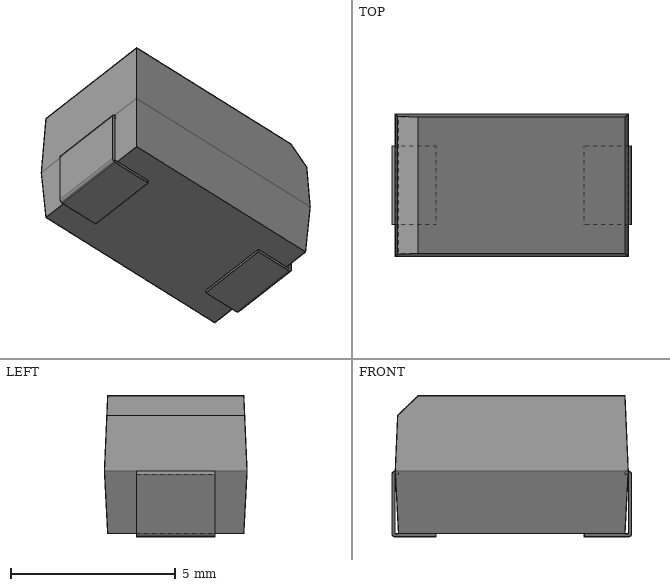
import cadquery as cq

overall_length = 7.3
case_width = 4.35
overall_height = 4.3
parting_height = 2.01
wall_inset = 0.1
polarity_chamfer = 0.6

strip_thickness = 0.1
strip_width = 2.4
strip_top = 2.0
left_foot_length = 1.35
right_foot_length = 1.45
tab_depth = strip_thickness
bend_radius = strip_thickness

case_length = overall_length - 2 * strip_thickness
case_bottom = strip_thickness


def tapered_half(end_height):
    """Half of the case, from the parting plane to a smaller face at end_height."""
    return (
        cq.Workplane("XY", origin=(0, 0, parting_height))
        .rect(case_length, case_width)
        .workplane(offset=end_height - parting_height)
        .rect(case_length - 2 * wall_inset, case_width - 2 * wall_inset)
        .loft(combine=True)
    )


def make_case():
    """Case that is widest at the parting plane, with a bevel marking the polarity."""
    upper_half = tapered_half(overall_height)
    lower_half = tapered_half(case_bottom)
    beveled_half = upper_half.faces(">Z").edges("<X").chamfer(polarity_chamfer)
    return beveled_half.union(lower_half)


def make_terminal(side, foot_length):
    """Strip from a tab in the case, down one end and under it; side is -1 or +1 along X."""
    outer_x = side * overall_length / 2
    inner_x = side * case_length / 2
    tab_end_x = inner_x - side * tab_depth
    foot_end_x = outer_x - side * foot_length
    bend_x = outer_x - side * bend_radius
    upper_bend_z = strip_top - bend_radius
    return (
        cq.Workplane("XZ")
        .moveTo(foot_end_x, 0)
        .lineTo(bend_x, 0)
        .tangentArcPoint((outer_x, bend_radius), relative=False)
        .lineTo(outer_x, upper_bend_z)
        .tangentArcPoint((bend_x, strip_top), relative=False)
        .lineTo(tab_end_x, strip_top)
        .lineTo(tab_end_x, strip_top - strip_thickness)
        .lineTo(inner_x, strip_top - strip_thickness)
        .lineTo(inner_x, strip_thickness)
        .lineTo(foot_end_x, strip_thickness)
        .close()
        .extrude(strip_width / 2, both=True)
    )


left_terminal = make_terminal(-1, left_foot_length)
right_terminal = make_terminal(1, right_foot_length)

case = make_case().cut(left_terminal).cut(right_terminal)

result = cq.Compound.makeCompound([case.val(), left_terminal.val(), right_terminal.val()])